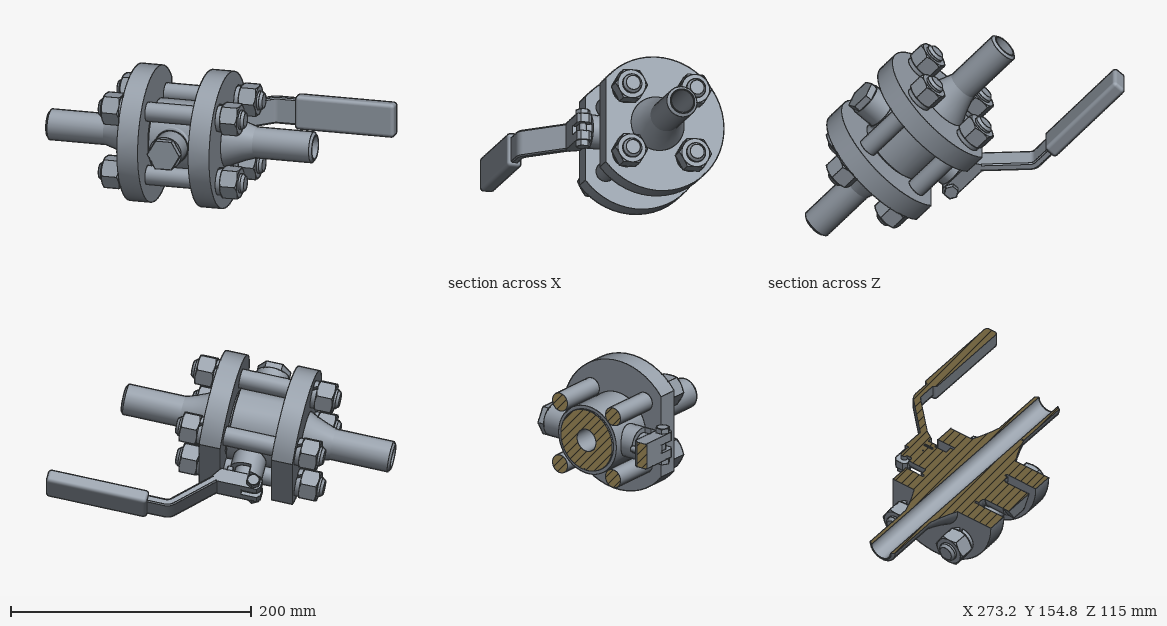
import cadquery as cq
import math


half_length = 115.0
pipe_radius = 12.98
bore_radius = 9.5
bevel_radius = 10.52
bevel_length = 2.0
neck_start = 64.5
neck_radius = 23.0
neck_sag = 0.8

flange_radius = 57.5
flange_inner = 21.9
flange_thickness = 18.0
flange_outer = flange_inner + flange_thickness
flange_flat = 44.8

body_radius = 30.0
body_half_length = 20.2
seat_radius = 27.0

bolt_offset = 27.5
bolt_radius = 8.05
bolt_half_length = 62.8
bolt_tip_radius = 6.0
bolt_tip_length = 2.5
washer_radius = 11.5
washer_thickness = 3.8
washer_slit_width = 2.2
washer_slit_angle = 30
nut_flats = 24.0
nut_height = 14.8
nut_face_radius = 12.0
nut_face_height = 1.0

plug_radius = 14.0
plug_end = 56.5
plug_hex_height = 6.0
boss_radius = 14.5
boss_end = 32.2
boss_fillet = 1.6

housing_end = 48.0
housing_step = 41.5
housing_step_edge = -3.8
stem_radius = 9.5
stop_pin_x = 13.7
stop_pin_radius = 2.5

clamp_bottom = 49.7
clamp_top = 62.0
clamp_left = -16.0
clamp_heel_x = 20.0
clamp_toe_x = 25.0
clamp_corner = 2.7
clamp_slot = 7.5
lever_width = 22.5

screw_x = -9.3
screw_y = (clamp_bottom + clamp_top) / 2
screw_radius = 3.0
screw_head_flats = 10.5
screw_head_height = 4.5
screw_nut_height = 5.0
screw_face_radius = 4.78
screw_face_height = 0.5

lever_thickness = 6.3
lever_y = 91.3
lever_bend_x = 54.0
lever_bend_radius = 8.2
lever_chamfer = 1.0
grip_start = 72.5
grip_end = 158.2
grip_thickness = 12.0
grip_width = 28.7
grip_fillet = 3.0


def rod_x(radius, start, end):
    """Cylinder on the X axis from start to end."""
    return cq.Workplane("YZ").workplane(offset=start).circle(radius).extrude(end - start)


def rod_y(radius, start, end):
    """Cylinder on the Y axis from start to end."""
    return cq.Workplane("XZ").workplane(offset=-start).circle(radius).extrude(start - end)


def hexagon(flats, height, face_radius, face_height):
    """Hexagon standing on XY, two corners on the X axis, top turned down to a round face."""
    corner_radius = flats / math.sqrt(3)
    prism = cq.Workplane("XY").polygon(6, 2 * corner_radius).extrude(height)
    envelope = (
        cq.Workplane("XZ")
        .polyline([
            (0, 0),
            (corner_radius, 0),
            (corner_radius, height - face_height),
            (face_radius, height),
            (0, height),
        ])
        .close()
        .revolve(360, (0, 0, 0), (0, 1, 0))
    )
    return prism.intersect(envelope)


def make_pipe_end():
    """Solid pipe, neck and flange on the +X side."""
    neck_middle = ((neck_start + flange_outer) / 2, (pipe_radius + neck_radius) / 2 - neck_sag)
    pipe = (
        cq.Workplane("XY")
        .moveTo(flange_inner, 0)
        .lineTo(half_length, 0)
        .lineTo(half_length, bevel_radius)
        .lineTo(half_length - bevel_length, pipe_radius)
        .lineTo(neck_start, pipe_radius)
        .threePointArc(neck_middle, (flange_outer, neck_radius))
        .lineTo(flange_inner, neck_radius)
        .close()
        .revolve(360, (0, 0, 0), (1, 0, 0))
    )
    flange = rod_x(flange_radius, flange_inner, flange_outer)
    beyond_flat = cq.Workplane("XY").box(
        2 * half_length, flange_radius, 2 * flange_radius
    ).translate((0, flange_flat + flange_radius / 2, 0))
    return pipe.union(flange.cut(beyond_flat))


def make_nut_and_washer():
    """Nut with its spring washer, seated on the +X flange, on the X axis."""
    washer = rod_x(washer_radius, flange_outer, flange_outer + washer_thickness)
    slit = (
        cq.Workplane("XY")
        .box(3 * washer_thickness, washer_slit_width, washer_radius, centered=(True, True, False))
        .rotate((0, 0, 0), (0, 0, 1), washer_slit_angle)
        .translate((flange_outer + washer_thickness / 2, 0, 0))
    )
    half_nut = hexagon(nut_flats, nut_height / 2, nut_face_radius, nut_face_height)
    nut = (
        half_nut.union(half_nut.mirror("XY"))
        .rotate((0, 0, 0), (0, 0, 1), 90)
        .rotate((0, 0, 0), (0, 1, 0), 90)
        .translate((flange_outer + washer_thickness + nut_height / 2, 0, 0))
    )
    return washer.cut(slit).union(nut)


def make_bolt():
    """Stud on the X axis with a nut and washer at both ends."""
    shank_end = bolt_half_length - bolt_tip_length
    stud = (
        cq.Workplane("XY")
        .polyline([
            (-bolt_half_length, 0),
            (-bolt_half_length, bolt_tip_radius),
            (-shank_end, bolt_radius),
            (shank_end, bolt_radius),
            (bolt_half_length, bolt_tip_radius),
            (bolt_half_length, 0),
        ])
        .close()
        .revolve(360, (0, 0, 0), (1, 0, 0))
    )
    nut = make_nut_and_washer()
    return stud.union(nut).union(nut.rotate((0, 0, 0), (0, 0, 1), 180))


def make_body():
    """Central body with its seats, and the boss and hex-ended plug on the -Y side."""
    body = rod_x(body_radius, -body_half_length, body_half_length)
    seats = rod_x(seat_radius, -flange_inner, flange_inner)
    plug = rod_y(plug_radius, plug_hex_height - plug_end, 0)
    head = (
        cq.Workplane("XZ")
        .workplane(offset=plug_end)
        .polygon(6, 2 * plug_radius)
        .extrude(-plug_hex_height)
    )
    joint = cq.selectors.BoxSelector(
        (-boss_radius, -body_radius, -boss_radius), (boss_radius, -boss_radius, boss_radius)
    )
    boss = rod_y(boss_radius, -boss_end, 0)
    body = body.union(boss).edges(joint).fillet(boss_fillet)
    return body.union(seats).union(plug).union(head)


def make_stem():
    """Stem in its housing, with a quarter-turn notch for the stop pin in the housing rim."""
    housing = rod_y(plug_radius, 0, housing_end)
    step = (
        cq.Workplane("XY")
        .box(2 * plug_radius, housing_end - housing_step, 2 * plug_radius, centered=False)
        .translate((housing_step_edge, housing_step, housing_step_edge))
    )
    return housing.cut(step).union(rod_y(stem_radius, 0, screw_y + screw_radius))


def make_clamp():
    """Slotted clamp block around the stem, with its stop pin and clamp screw."""
    arm_line = lever_y - lever_bend_x
    arm_half_rise = lever_thickness / math.sqrt(2)
    block = (
        cq.Workplane("XY")
        .workplane(offset=-lever_width / 2)
        .polyline([
            (clamp_left, clamp_bottom),
            (clamp_heel_x, clamp_bottom),
            (clamp_toe_x, clamp_toe_x + arm_line - arm_half_rise),
            (clamp_top - arm_line - arm_half_rise, clamp_top),
            (clamp_left, clamp_top),
        ])
        .close()
        .extrude(lever_width)
        .edges("|Z and <X")
        .chamfer(clamp_corner)
    )
    slot = cq.Workplane("XY").box(
        -clamp_left, clamp_top, clamp_slot, centered=(False, False, True)
    ).translate((clamp_left, clamp_bottom, 0))
    stop_pin = rod_y(stop_pin_radius, housing_step, clamp_top).translate((stop_pin_x, 0, 0))

    screw = cq.Workplane("XY").circle(screw_radius).extrude(lever_width / 2, both=True)
    head = (
        hexagon(screw_head_flats, screw_head_height, screw_face_radius, screw_face_height)
        .rotate((0, 0, 0), (0, 0, 1), 90)
        .translate((0, 0, lever_width / 2))
    )
    nut = (
        cq.Workplane("XY")
        .polygon(6, 2 * screw_head_flats / math.sqrt(3))
        .extrude(-screw_nut_height)
        .rotate((0, 0, 0), (0, 0, 1), 90)
        .translate((0, 0, -lever_width / 2))
    )
    screw = screw.union(head).union(nut)
    screw = screw.translate((screw_x, screw_y, 0))
    return block.cut(slot).union(stop_pin).union(screw)


def make_lever():
    """Bent flat arm with a rounded grip."""
    slope = math.radians(45)
    bend_tangent = lever_bend_radius * math.tan(slope / 2)
    bend_start = (
        lever_bend_x - bend_tangent * math.cos(slope),
        lever_y - bend_tangent * math.sin(slope),
    )
    arm_start = (clamp_heel_x, lever_y - lever_bend_x + clamp_heel_x)
    path = (
        cq.Workplane("XY")
        .moveTo(*arm_start)
        .lineTo(*bend_start)
        .tangentArcPoint((lever_bend_x + bend_tangent, lever_y), relative=False)
        .lineTo(grip_start + grip_fillet, lever_y)
    )
    arm = (
        cq.Workplane(cq.Plane(origin=(*arm_start, 0), xDir=(0, 0, 1), normal=(1, 1, 0)))
        .sketch()
        .rect(lever_width, lever_thickness)
        .vertices()
        .chamfer(lever_chamfer)
        .finalize()
        .sweep(path)
    )
    grip = (
        cq.Workplane("XY")
        .box(grip_end - grip_start, grip_thickness, grip_width)
        .edges()
        .fillet(grip_fillet)
        .translate(((grip_start + grip_end) / 2, lever_y, 0))
    )
    return arm.union(grip)


pipe_end = make_pipe_end()
valve = make_body().union(pipe_end).union(pipe_end.mirror("YZ"))
bolt = make_bolt()
for y in (-bolt_offset, bolt_offset):
    for z in (-bolt_offset, bolt_offset):
        valve = valve.union(bolt.translate((0, y, z)))
valve = valve.union(make_stem()).cut(rod_x(bore_radius, -half_length, half_length))

result = valve.union(make_clamp()).union(make_lever())